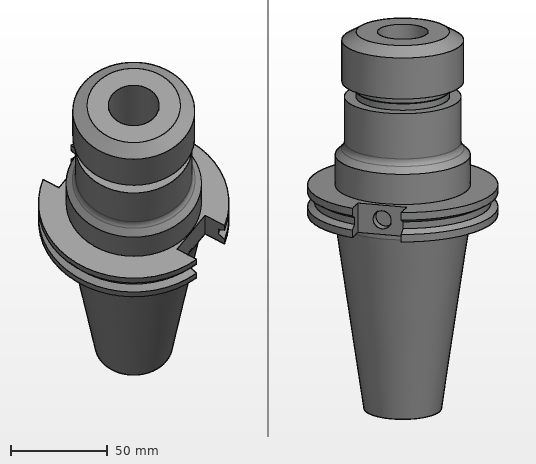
import cadquery as cq
import math

total_height = 203.2
gauge_height = 101.5
flange_bottom = 104.9
flange_thickness = 15.8
collar_top = 137.0
body_top = 168.2
neck_step_height = 171.7
nut_bottom = 176.5

gauge_diameter = 70.0
taper_rate = 7 / 24
flange_diameter = 98.3
groove_diameter = 91.2
body_diameter = 60.4
lower_neck_diameter = 48.4
upper_neck_diameter = 49.4
nut_diameter = 63.0
nut_face_diameter = 48.2
bore_diameter = 26.2

body_fillet = 5.0
neck_chamfer = (upper_neck_diameter - lower_neck_diameter) / 2
nut_chamfer_height = 4.5
groove_floor_width = 3.7
groove_side_angle = 30
bore_depth = 61.0
slot_width = 26.2
left_slot_distance = 37.5
right_slot_distance = 35.4
slot_hole_diameter = 9.8
slot_hole_depth = 5.3

flange_top = flange_bottom + flange_thickness
flange_middle = flange_bottom + flange_thickness / 2


def make_body():
    """Revolve the outer profile about Z, from the taper up to the nut."""
    taper_end_radius = (gauge_diameter - taper_rate * gauge_height) / 2
    collar_radius = gauge_diameter / 2
    flange_radius = flange_diameter / 2
    groove_radius = groove_diameter / 2
    body_radius = body_diameter / 2
    groove_slope = (flange_radius - groove_radius) * math.tan(math.radians(groove_side_angle))
    floor_half = groove_floor_width / 2
    mouth_half = floor_half + groove_slope

    diagonal = math.sqrt(0.5)
    fillet_center_radius = body_radius + body_fillet
    fillet_start_radius = fillet_center_radius - body_fillet * diagonal
    fillet_start = collar_top + collar_radius - fillet_start_radius
    fillet_end = fillet_start + body_fillet * diagonal
    half_angle = math.radians(22.5)
    fillet_middle = (
        fillet_center_radius - body_fillet * math.cos(half_angle),
        fillet_end - body_fillet * math.sin(half_angle),
    )

    profile = (
        cq.Workplane("XZ")
        .moveTo(0, 0)
        .lineTo(taper_end_radius, 0)
        .lineTo(collar_radius, gauge_height)
        .lineTo(collar_radius, flange_bottom)
        .lineTo(flange_radius, flange_bottom)
        .lineTo(flange_radius, flange_middle - mouth_half)
        .lineTo(groove_radius, flange_middle - floor_half)
        .lineTo(groove_radius, flange_middle + floor_half)
        .lineTo(flange_radius, flange_middle + mouth_half)
        .lineTo(flange_radius, flange_top)
        .lineTo(collar_radius, flange_top)
        .lineTo(collar_radius, collar_top)
        .lineTo(fillet_start_radius, fillet_start)
        .threePointArc(fillet_middle, (body_radius, fillet_end))
        .lineTo(body_radius, body_top)
        .lineTo(lower_neck_diameter / 2, body_top)
        .lineTo(lower_neck_diameter / 2, neck_step_height)
        .lineTo(upper_neck_diameter / 2, neck_step_height + neck_chamfer)
        .lineTo(upper_neck_diameter / 2, nut_bottom)
        .lineTo(nut_diameter / 2, nut_bottom)
        .lineTo(nut_diameter / 2, total_height - nut_chamfer_height)
        .lineTo(nut_face_diameter / 2, total_height)
        .lineTo(0, total_height)
        .close()
    )
    return profile.revolve(360, (0, 0, 0), (0, 1, 0))


def make_bore():
    """Blind tool bore entering through the nut face."""
    bore = cq.Workplane("XY").workplane(offset=total_height - bore_depth)
    return bore.circle(bore_diameter / 2).extrude(bore_depth)


def make_drive_slot(side, distance):
    """Drive slot through the flange; side is -1 for -X and +1 for +X."""
    length = flange_diameter / 2
    return cq.Workplane("XY").box(length, slot_width, flange_thickness).translate(
        (side * (distance + length / 2), 0, flange_middle)
    )


def make_slot_hole():
    """Blind round hole in the floor of the -X drive slot."""
    hole = cq.Workplane("YZ", origin=(-left_slot_distance, 0, flange_middle))
    return hole.circle(slot_hole_diameter / 2).extrude(slot_hole_depth)


result = (
    make_body()
    .cut(make_bore())
    .cut(make_drive_slot(-1, left_slot_distance))
    .cut(make_drive_slot(1, right_slot_distance))
    .cut(make_slot_hole())
)